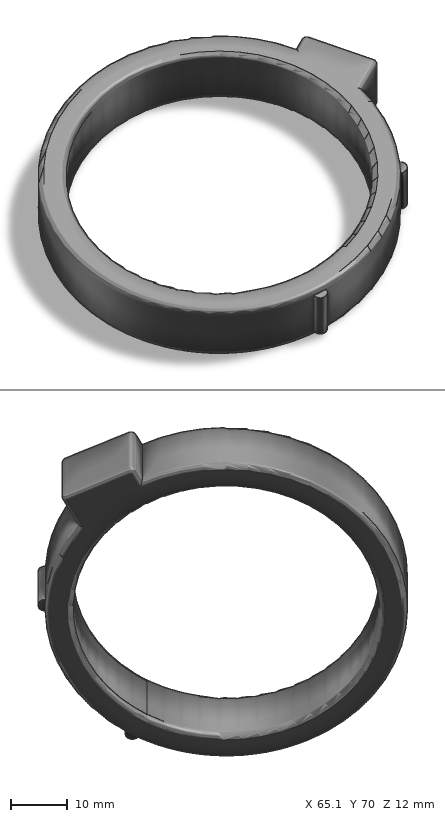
import cadquery as cq
height = 12.0
outer_radius = 32.0
bore_radius = 27.0
edge_radius = 1.0
straight_height = height - 2 * edge_radius

tab_angle = 117.0
tab_reach = 35.4
tab_width = 14.5
tab_offset = 0.5

insert_angles = (-5.0, 55.0)
insert_thickness = 1.0
rib_radius = 1.25


def turn(body, angle):
    return body.rotate((0, 0, 0), (0, 0, 1), angle)


def make_tab():
    block = cq.Workplane("XY").box(tab_reach, tab_width, height, centered=False)
    block = block.translate((0, -tab_offset - tab_width, 0)).edges("|Z and >X").fillet(edge_radius)
    return turn(block, tab_angle)


def make_rib(angle):
    rib = cq.Workplane("XY", origin=(outer_radius, 0, edge_radius)).circle(rib_radius)
    return turn(rib.extrude(straight_height), angle)


def make_insert():
    """Curved strip flush with the bore, as tall as the straight part of the bore."""
    first_angle, last_angle = insert_angles
    strip = (
        cq.Workplane("XZ", origin=(bore_radius, 0, edge_radius))
        .rect(insert_thickness, straight_height, centered=False)
        .revolve(last_angle - first_angle, (-bore_radius, 0, 0), (-bore_radius, 1, 0))
    )
    return turn(strip, first_angle)


def make_ring(insert):
    disc = cq.Workplane("XY").circle(outer_radius).extrude(height)
    bore = cq.Workplane("XY").circle(bore_radius).extrude(height)
    body = disc.union(make_tab()).cut(bore)
    body = body.faces("<Z or >Z").edges().fillet(edge_radius)
    for angle in insert_angles:
        body = body.union(make_rib(angle))
    return body.cut(insert).solids()


insert = make_insert()
ring = make_ring(insert)

result = cq.Compound.makeCompound([ring.val(), insert.val()])